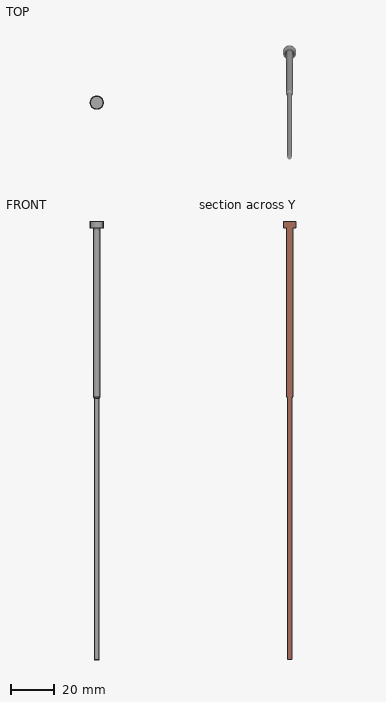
import math

import cadquery as cq

total_length = 200.0
head_diameter = 6.0
head_height = 3.0
shank_diameter = 3.0
shank_end_depth = 80.0
tip_diameter = 2.1
taper_half_angle = 30.0

head_radius = head_diameter / 2
shank_radius = shank_diameter / 2
tip_radius = tip_diameter / 2
taper_length = (shank_radius - tip_radius) / math.tan(math.radians(taper_half_angle))

head_top = total_length
head_underside = head_top - head_height
shank_end = head_top - shank_end_depth
taper_end = shank_end - taper_length


def make_pin():
    """Revolve the half profile of the pin about the Z axis."""
    half_profile = (
        cq.Workplane("XZ")
        .moveTo(0, 0)
        .lineTo(tip_radius, 0)
        .lineTo(tip_radius, taper_end)
        .lineTo(shank_radius, shank_end)
        .lineTo(shank_radius, head_underside)
        .lineTo(head_radius, head_underside)
        .lineTo(head_radius, head_top)
        .lineTo(0, head_top)
        .close()
    )
    return half_profile.revolve(360, (0, 0, 0), (0, 1, 0))


result = make_pin()